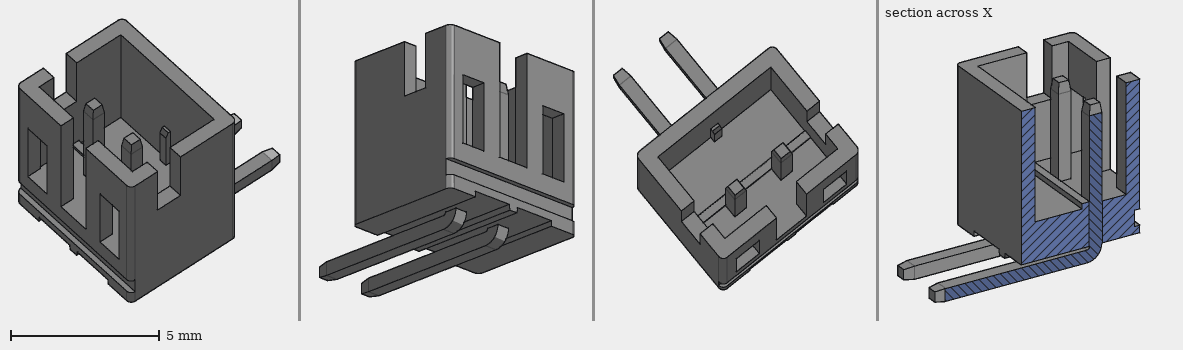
import cadquery as cq

OVERCUT = 0.08

WIDTH = 6.0
DEPTH = 4.7
HEIGHT = 6.0
WALL = 0.55
CORNER_RADIUS = 0.2
FRONT_FLOOR_Z = 1.8

RIDGE_DEPTH = 0.3
RIDGE_TOP_Z = 1.9
REAR_FLOOR_Z = 1.7

SIDE_SLOT_FRONT_Y = 1.2
SIDE_SLOT_WIDTH = 1.005
SIDE_SLOT_DEPTH = 2.0
FRONT_SLOT_WIDTH = 1.305
WINDOW_WIDTH = 1.0
WINDOW_TOP_Z = 4.3
WINDOW_OFFSET_X = 1.895

GROOVE_BOTTOM_Z = 0.5
GROOVE_TOP_Z = 1.1
GROOVE_DEPTH = CORNER_RADIUS

CHANNEL_WIDTH = 3.61
CHANNEL_HEIGHT = 0.2
FOOT_TOP_WIDTH = 0.405
FOOT_BOTTOM_WIDTH = 0.33

RIB_WIDTH = 0.315
RIB_DEPTH = 0.2
RIB_TOP_Z = 3.31
RIB_SLOPE_DEPTH = 0.105
RIB_SLOPE_HEIGHT = 0.2

PIN_SIZE = 0.5
PIN_PITCH = 2.0
PIN_FRONT_Y = 1.5
PIN_BOTTOM_Z = -0.4
PIN_TOP_Z = 5.5
PIN_REAR_Y = 8.1
PIN_BEND_RADIUS = 0.6
TIP_LENGTH = 0.4
TIP_SIZE = 0.39

PIN_BACK_Y = PIN_FRONT_Y + PIN_SIZE
PIN_CENTRE_Y = PIN_FRONT_Y + PIN_SIZE / 2
PIN_CENTRE_Z = PIN_BOTTOM_Z + PIN_SIZE / 2
CAVITY_BACK_Y = DEPTH - WALL


def block(x_range, y_range, z_range):
    """Box spanning the given (low, high) range on each axis."""
    (x0, x1), (y0, y1), (z0, z1) = x_range, y_range, z_range
    return cq.Workplane("XY").box(x1 - x0, y1 - y0, z1 - z0, centered=False).translate((x0, y0, z0))


def centred(width, middle=0.0):
    """Range of the given width about a middle value."""
    return (middle - width / 2, middle + width / 2)


def make_shell():
    """Rounded block with an open-topped cavity, its floor crossed by a low ridge."""
    shell = block(centred(WIDTH), (0, DEPTH), (0, HEIGHT)).edges("|Z").fillet(CORNER_RADIUS)
    ridge_back_y = PIN_BACK_Y + RIDGE_DEPTH
    floor_steps = [
        ((WALL, PIN_BACK_Y), FRONT_FLOOR_Z),
        ((PIN_BACK_Y, ridge_back_y), RIDGE_TOP_Z),
        ((ridge_back_y, CAVITY_BACK_Y), REAR_FLOOR_Z),
    ]
    for y_range, floor_z in floor_steps:
        shell = shell.cut(block(centred(WIDTH - 2 * WALL), y_range, (floor_z, HEIGHT + OVERCUT)))
    return shell


def make_wall_openings():
    """Slots across both side walls, and a slot and two windows in the front wall."""
    open_top = HEIGHT + OVERCUT
    front_y = (-OVERCUT, WALL)
    side_slot_y = (SIDE_SLOT_FRONT_Y, SIDE_SLOT_FRONT_Y + SIDE_SLOT_WIDTH)
    side_slots = block(centred(WIDTH + 2 * OVERCUT), side_slot_y, (HEIGHT - SIDE_SLOT_DEPTH, open_top))
    openings = side_slots.union(block(centred(FRONT_SLOT_WIDTH), front_y, (FRONT_FLOOR_Z, open_top)))
    for x in (-WINDOW_OFFSET_X, WINDOW_OFFSET_X):
        window = block(centred(WINDOW_WIDTH, x), front_y, (FRONT_FLOOR_Z, WINDOW_TOP_Z))
        openings = openings.union(window)
    return openings


def make_groove():
    """Straight groove across the full width of the front face."""
    return block(
        centred(WIDTH + 2 * OVERCUT),
        (-OVERCUT, GROOVE_DEPTH),
        (GROOVE_BOTTOM_Z, GROOVE_TOP_Z),
    )


def make_channel():
    """Channel through the underside from front to rear, around the tapered foot."""
    channel = block(
        centred(CHANNEL_WIDTH),
        (-OVERCUT, DEPTH + OVERCUT),
        (-OVERCUT, CHANNEL_HEIGHT),
    )
    foot_outline = [
        (-FOOT_BOTTOM_WIDTH / 2, 0),
        (FOOT_BOTTOM_WIDTH / 2, 0),
        (FOOT_TOP_WIDTH / 2, CHANNEL_HEIGHT),
        (-FOOT_TOP_WIDTH / 2, CHANNEL_HEIGHT),
    ]
    foot = cq.Workplane("XZ").polyline(foot_outline).close().extrude(-DEPTH)
    below_foot = block(centred(FOOT_TOP_WIDTH), (0, DEPTH), (-OVERCUT, 0))
    return channel.cut(foot).cut(below_foot)


def make_rib():
    """Upright rib on the rear wall, its top sloping down at the front."""
    rib_front_y = CAVITY_BACK_Y - RIB_DEPTH
    outline = [
        (CAVITY_BACK_Y, REAR_FLOOR_Z),
        (rib_front_y, REAR_FLOOR_Z),
        (rib_front_y, RIB_TOP_Z - RIB_SLOPE_HEIGHT),
        (rib_front_y + RIB_SLOPE_DEPTH, RIB_TOP_Z),
        (CAVITY_BACK_Y, RIB_TOP_Z),
    ]
    return cq.Workplane("YZ").polyline(outline).close().extrude(RIB_WIDTH / 2, both=True)


def make_tip(plane):
    """Square pyramid frustum standing on the given plane."""
    base = cq.Workplane(plane).rect(PIN_SIZE, PIN_SIZE)
    return base.workplane(offset=TIP_LENGTH).rect(TIP_SIZE, TIP_SIZE).loft(ruled=True)


def make_pin(x):
    """Right-angle pin centred on x, with a tapered tip at each end."""
    shank_top = PIN_TOP_Z - TIP_LENGTH
    shank_rear = PIN_REAR_Y - TIP_LENGTH
    inner_bend_radius = PIN_BEND_RADIUS - PIN_SIZE
    outline = [
        (PIN_FRONT_Y, PIN_BOTTOM_Z),
        (shank_rear, PIN_BOTTOM_Z),
        (shank_rear, PIN_BOTTOM_Z + PIN_SIZE),
        (PIN_BACK_Y, PIN_BOTTOM_Z + PIN_SIZE),
        (PIN_BACK_Y, shank_top),
        (PIN_FRONT_Y, shank_top),
    ]
    shank = cq.Workplane("YZ").polyline(outline).close().extrude(PIN_SIZE / 2, both=True)
    outer_corner = cq.selectors.NearestToPointSelector((0, PIN_FRONT_Y, PIN_BOTTOM_Z))
    inner_corner = cq.selectors.NearestToPointSelector((0, PIN_BACK_Y, PIN_BOTTOM_Z + PIN_SIZE))
    shank = shank.edges(outer_corner).fillet(PIN_BEND_RADIUS)
    shank = shank.edges(inner_corner).fillet(inner_bend_radius)
    top_tip = make_tip(cq.Plane((0, PIN_CENTRE_Y, shank_top), xDir=(1, 0, 0), normal=(0, 0, 1)))
    rear_tip = make_tip(cq.Plane((0, shank_rear, PIN_CENTRE_Z), xDir=(1, 0, 0), normal=(0, 1, 0)))
    return shank.union(top_tip).union(rear_tip).translate((x, 0, 0))


def make_housing(pins):
    """Shell with its openings, groove, channel and rib, and a matching hole for each pin."""
    housing = make_shell().cut(make_wall_openings()).cut(make_groove()).cut(make_channel())
    housing = housing.union(make_rib())
    for pin in pins:
        housing = housing.cut(pin)
    return housing


pins = [make_pin(x) for x in (-PIN_PITCH / 2, PIN_PITCH / 2)]
housing = make_housing(pins)

result = cq.Compound.makeCompound([housing.val(), *[pin.val() for pin in pins]])